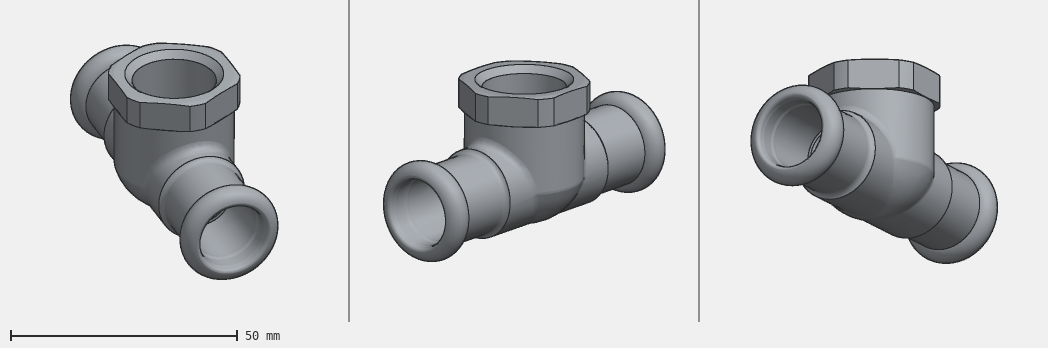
import cadquery as cq
import math

length = 73.0
half_length = length / 2
body_radius = 20.3 / 2
body_half_length = 16.65
pipe_radius = 18.3 / 2
step_length = 1.45
bead_section_radius = 3.2
bead_ring_radius = 8.2
lip_radius = 8.75

entry_radius = 15.7 / 2
seat_radius = 15.3 / 2
grip_radius = 7.45
socket_end_radius = 7.15
stop_inner_radius = 6.5
run_bore_radius = 12.0 / 2
seat_start = 34.75
seat_end = 31.75
grip_start = 30.95
grip_end = 29.85
socket_stop = body_half_length

total_height = 33.9
top_z = total_height - bead_ring_radius - bead_section_radius
neck_radius = 26.5 / 2
dome_depth = 10.2
branch_bore_radius = 18.6 / 2
branch_mouth_chamfer = 1.6
seam_fillet = 2.0

hex_across_flats = 26.8
hex_height = 6.85
hex_corner_radius = 14.5
hex_end_drop = 0.2


def step_end():
    """Distance from the middle at which the step has run out into the pipe."""
    return body_half_length + step_length


def bead_inner_end():
    """Distance from the middle at which the bead meets the pipe."""
    bead_centre = half_length - bead_section_radius
    rise = pipe_radius - bead_ring_radius
    return bead_centre - math.sqrt(bead_section_radius**2 - rise**2)


def run_end_outside():
    """One half of the run, from the middle out to +X."""
    step_rise = body_radius - pipe_radius
    step_arc_radius = (step_length**2 + step_rise**2) / (2 * step_rise)
    step_mid_angle = math.asin(step_length / step_arc_radius) / 2
    step_mid = (
        step_end() - step_arc_radius * math.sin(step_mid_angle),
        pipe_radius + step_arc_radius * (1 - math.cos(step_mid_angle)),
    )
    bead_top = (half_length - bead_section_radius, bead_ring_radius + bead_section_radius)
    profile = (
        cq.Workplane("XY")
        .lineTo(0, body_radius)
        .lineTo(body_half_length, body_radius)
        .threePointArc(step_mid, (step_end(), pipe_radius))
        .lineTo(bead_inner_end(), pipe_radius)
        .threePointArc(bead_top, (half_length, lip_radius))
        .lineTo(half_length, 0)
        .close()
    )
    return profile.revolve(360, (0, 0, 0), (1, 0, 0))


def run_end_cavity():
    """Stepped socket of the +X end, with a rounded mouth."""
    lip_rounding = lip_radius - entry_radius
    lip_end = half_length - lip_rounding
    lip_mid = (
        half_length - lip_rounding * (1 - math.sin(math.pi / 4)),
        lip_radius - lip_rounding * math.sin(math.pi / 4),
    )
    bore_start = socket_stop - (stop_inner_radius - run_bore_radius)
    profile = (
        cq.Workplane("XY")
        .lineTo(0, run_bore_radius)
        .lineTo(bore_start, run_bore_radius)
        .lineTo(socket_stop, stop_inner_radius)
        .lineTo(socket_stop, socket_end_radius)
        .lineTo(grip_end, grip_radius)
        .lineTo(grip_start, grip_radius)
        .lineTo(seat_end, seat_radius)
        .lineTo(seat_start, seat_radius)
        .lineTo(lip_end, entry_radius)
        .threePointArc(lip_mid, (half_length, lip_radius))
        .lineTo(half_length, 0)
        .close()
    )
    return profile.revolve(360, (0, 0, 0), (1, 0, 0))


def domed_cylinder(radius, depth, height):
    """Upright cylinder above Z = 0 with a spherical cap of the given depth below it."""
    sphere_radius = (radius**2 + depth**2) / (2 * depth)
    mid_angle = math.asin(radius / sphere_radius) / 2
    cap_mid = (
        sphere_radius * math.sin(mid_angle),
        sphere_radius * (1 - math.cos(mid_angle)) - depth,
    )
    profile = (
        cq.Workplane("YZ")
        .moveTo(0, -depth)
        .threePointArc(cap_mid, (radius, 0))
        .lineTo(radius, height)
        .lineTo(0, height)
        .close()
    )
    return profile.revolve(360, (0, 0, 0), (0, 1, 0))


def hex_collar():
    """Hexagon with flats facing +Y and -Y, trimmed by a turned blank with coned ends."""
    across_corners = hex_across_flats / math.cos(math.pi / 6)
    bottom_z = top_z - hex_height
    hexagon = cq.Workplane("XY").workplane(offset=bottom_z).polygon(6, across_corners).extrude(hex_height)
    blank = (
        cq.Workplane("XZ")
        .moveTo(0, bottom_z)
        .lineTo(neck_radius, bottom_z)
        .lineTo(hex_corner_radius, bottom_z + hex_end_drop)
        .lineTo(hex_corner_radius, top_z - hex_end_drop)
        .lineTo(neck_radius, top_z)
        .lineTo(0, top_z)
        .close()
        .revolve(360, (0, 0, 0), (0, 1, 0))
    )
    return hexagon.intersect(blank)


def both_ends(end):
    """The +X half of the run together with its mirror image."""
    return end.union(end.mirror("YZ"))


def branch_cavity():
    """Domed branch bore with a chamfered mouth."""
    mouth = (
        cq.Workplane("XY")
        .workplane(offset=top_z)
        .circle(branch_bore_radius + branch_mouth_chamfer)
        .workplane(offset=-branch_mouth_chamfer)
        .circle(branch_bore_radius)
        .loft(ruled=True)
    )
    return domed_cylinder(branch_bore_radius, run_bore_radius, top_z).union(mouth)


def branch_outside():
    """Neck and dome, with the rim between them rounded."""
    rim = cq.NearestToPointSelector((0, 0, 0))
    neck = domed_cylinder(neck_radius, dome_depth, top_z - hex_height)
    return neck.edges(rim).fillet(seam_fillet)


def tee_outside():
    """Run and branch joined, with the curved seam between them rounded."""
    joined = both_ends(run_end_outside()).union(branch_outside())
    seam_zone = cq.selectors.BoxSelector(
        (-neck_radius, -neck_radius, -dome_depth),
        (neck_radius, neck_radius, dome_depth),
    )
    return joined.edges(seam_zone).edges("%BSPLINE").fillet(seam_fillet)


result = tee_outside().union(hex_collar()).cut(both_ends(run_end_cavity())).cut(branch_cavity())